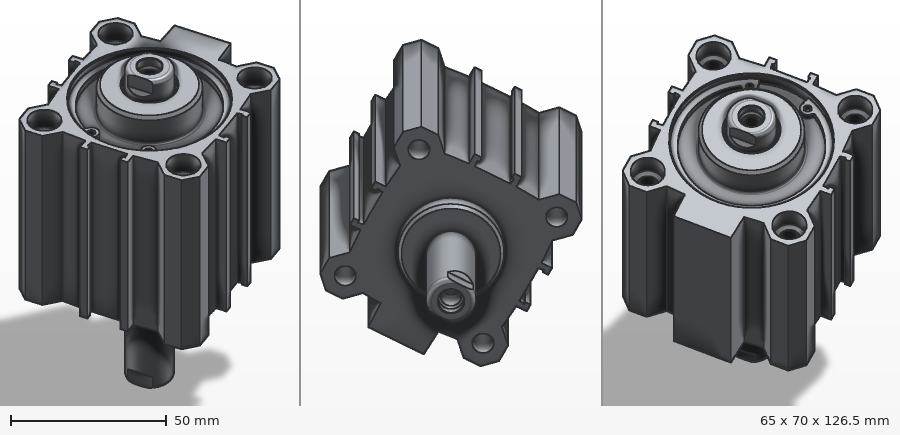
import cadquery as cq
import math


housing_height = 69.3
housing_half = 32.5
ear_center = 25.0
ear_flat = 6.2
wall_middle = 28.3
wall_end = 27.7
hook_outer = 8.6
wall_end_offset = wall_end - housing_half + ear_center - ear_flat / 2

hook_reach = 32.1
hook_lip = 6.0
hook_arm_tip = 6.7
hook_arm_root = 6.3
hook_lip_thickness = 1.9

port_reach = 37.5
port_tip_width = 20.2
port_root_width = 21.0

bolt_diameter = 6.8
bolt_head_diameter = 11.0
bolt_head_depth = 7.3

flange_diameter = 51.7
bore_diameter = 52.2
bore_rim_diameter = 53.0
cover_recess = 4.8
flange_thickness = 12.6
boss_diameter = 34.0
boss_reach = 6.0
boss_chamfer = 1.1
boss_root_fillet = 0.8

seal_diameter = 17.7
seal_mouth_diameter = 16.6
seal_thickness = 2.0
seal_recess = 1.3
seal_seat_diameter = 18.0
seal_seat_rim_diameter = 18.7
seal_seat_floor = housing_height + boss_reach - seal_recess - seal_thickness

ring_recess = 2.7
ring_thickness = cover_recess - ring_recess
ring_inner_diameter = 47.5
ring_gap_half_angle = 19.5
lug_x = 10.2
lug_y = -20.7
lug_radius = 2.5
lug_hole_diameter = 2.5
lug_blend = 0.8

rod_diameter = 16.0
rod_length = 126.5
rod_projection = 13.5
rod_top = housing_height + rod_projection
rod_end_fillet = 1.6
flat_width = 13.0
flat_length = 5.2
tap_rim_diameter = 8.6
tap_relief_diameter = 8.2
tap_relief_depth = 3.2
tap_diameter = 6.7
tap_depth = 12.6
drill_tip_half_angle = 80.0


def make_prism(points, height):
    return cq.Workplane("XY").polyline(points).close().extrude(height)


def make_core():
    side = [(-wall_end_offset, wall_end), (-hook_outer, wall_middle),
            (hook_outer, wall_middle), (wall_end_offset, wall_end)]
    points = []
    for x, y in side:
        points.append((x, y))
    for x, y in reversed(side):
        points.append((y, x))
    for x, y in reversed(side):
        points.append((x, -y))
    for x, y in side:
        points.append((-y, x))
    return make_prism(points, housing_height)


def make_ear(x_sign, y_sign):
    inner = ear_center - ear_flat / 2
    outer = ear_center + ear_flat / 2
    points = [(inner, housing_half), (outer, housing_half), (housing_half, outer), (housing_half, inner),
              (wall_end, wall_end_offset), (wall_end_offset, wall_end)]
    return make_prism([(x_sign * x, y_sign * y) for x, y in points], housing_height)


def make_hook_pair():
    """Two facing hooks on the -Y wall."""
    root = wall_end
    lip_root = hook_reach - hook_lip_thickness
    points = [(hook_outer, -root), (hook_outer, -hook_reach), (hook_lip, -hook_reach),
              (hook_lip, -lip_root), (hook_arm_tip, -lip_root), (hook_arm_root, -root)]
    hook = make_prism(points, housing_height)
    return hook.union(hook.mirror("YZ"))


def make_port_block():
    root = port_root_width / 2
    tip = port_tip_width / 2
    points = [(-root, wall_end), (-tip, port_reach), (tip, port_reach), (root, wall_end)]
    return make_prism(points, housing_height)


def make_boss(base_z, reach):
    """Round boss rising from base_z, with a chamfered end."""
    return (cq.Workplane("XY").workplane(offset=base_z).circle(boss_diameter / 2).extrude(reach)
            .faces(">Z").chamfer(boss_chamfer))


def revolve_profile(profile):
    """Solid of revolution about Z from (radius, height) points."""
    return cq.Workplane("XZ").polyline(profile).close().revolve(360, (0, 0, 0), (0, 1, 0))


def make_rod_hole():
    """Cutter for the rod hole through the cover and the housing."""
    lower_end = -boss_reach
    return (cq.Workplane("XY").workplane(offset=lower_end)
            .circle(rod_diameter / 2).extrude(housing_height + 2 * boss_reach))


def make_seal_seat():
    """Cutter for the seal seat in the upper boss face, with a chamfered rim."""
    face = housing_height + boss_reach
    radius = seal_seat_diameter / 2
    rim_radius = seal_seat_rim_diameter / 2
    rim = rim_radius - radius
    return revolve_profile([(0, face), (rim_radius, face), (radius, face - rim),
                            (radius, seal_seat_floor), (0, seal_seat_floor)])


def make_bore():
    """Stepped pocket that takes the cover flange and the ring, with a chamfered rim."""
    rim = (bore_rim_diameter - bore_diameter) / 2
    step = housing_height - cover_recess
    floor = step - flange_thickness
    radius = bore_diameter / 2
    profile = [(0, floor), (flange_diameter / 2, floor), (flange_diameter / 2, step),
               (radius, step), (radius, housing_height - rim),
               (radius + rim, housing_height), (0, housing_height)]
    return revolve_profile(profile)


def make_housing():
    body = make_core()
    for x_sign in (-1, 1):
        for y_sign in (-1, 1):
            body = body.union(make_ear(x_sign, y_sign))
    for angle in (-90, 0, 90):
        body = body.union(make_hook_pair().rotate((0, 0, 0), (0, 0, 1), angle))
    body = body.union(make_port_block())
    body = (body.faces(">Z").workplane(origin=(0, 0, housing_height))
            .rect(2 * ear_center, 2 * ear_center, forConstruction=True).vertices()
            .cboreHole(bolt_diameter, bolt_head_diameter, bolt_head_depth))
    lower_boss = make_boss(0, boss_reach).mirror("XY")
    return body.union(lower_boss).cut(make_bore()).cut(make_rod_hole())


def make_cover():
    flange_top = housing_height - cover_recess
    flange = (cq.Workplane("XY").workplane(offset=flange_top - flange_thickness)
              .circle(flange_diameter / 2).extrude(flange_thickness))
    body = flange.union(make_boss(flange_top, cover_recess + boss_reach))
    flange_face = cq.selectors.BoxSelector((-bore_diameter, -bore_diameter, flange_top - boss_root_fillet),
                                           (bore_diameter, bore_diameter, flange_top + boss_root_fillet))
    boss_root = cq.selectors.RadiusNthSelector(0)
    body = body.edges("%CIRCLE").edges(flange_face).edges(boss_root).fillet(boss_root_fillet)
    return body.cut(make_rod_hole()).cut(make_seal_seat())


def make_retaining_ring():
    base = cq.Workplane("XY").workplane(offset=housing_height - cover_recess)
    band = base.circle(bore_diameter / 2).circle(ring_inner_diameter / 2).extrude(ring_thickness)
    gap_half_width = bore_diameter * math.tan(math.radians(ring_gap_half_angle))
    gap = (base.polyline([(0, 0), (-gap_half_width, -bore_diameter), (gap_half_width, -bore_diameter)])
           .close().extrude(ring_thickness))
    lug_points = [(-lug_x, lug_y), (lug_x, lug_y)]
    lugs = base.pushPoints(lug_points).circle(lug_radius).extrude(ring_thickness)
    holes = base.pushPoints(lug_points).circle(lug_hole_diameter / 2).extrude(ring_thickness)
    body = band.cut(gap).union(lugs)
    top = housing_height
    for near, far in [(-lug_x - 2 * lug_radius, -lug_x), (lug_x, lug_x + 2 * lug_radius)]:
        inner_corner = cq.selectors.BoxSelector((near, lug_y, 0), (far, lug_y + lug_radius, top))
        body = body.edges("|Z").edges(inner_corner).fillet(lug_blend)
    return body.cut(holes)


def make_rod_seal():
    """Ring around the rod whose inner edge is chamfered at the mouth."""
    top = seal_seat_floor + seal_thickness
    inner = rod_diameter / 2
    mouth = seal_mouth_diameter / 2
    outer = seal_diameter / 2
    return revolve_profile([(inner, seal_seat_floor), (outer, seal_seat_floor), (outer, top),
                            (mouth, top), (inner, top - mouth + inner)])


def make_end_flats():
    """Material removed from the rod top by the two wrench flats, which run out at 45 degrees."""
    flat = flat_width / 2
    radius = rod_diameter / 2
    shoulder = rod_top - flat_length
    run_out = radius - flat
    profile = [(flat, rod_top), (flat, shoulder), (radius, shoulder - run_out), (radius, rod_top)]
    cutter = cq.Workplane("YZ").polyline(profile).close().extrude(radius, both=True)
    return cutter.union(cutter.mirror("XZ"))


def make_tapped_hole():
    """Blind hole in the rod top: rim chamfer, relief, thread bore and drill tip."""
    rim = tap_rim_diameter / 2
    relief = tap_relief_diameter / 2
    bore = tap_diameter / 2
    tip_length = bore / math.tan(math.radians(drill_tip_half_angle))
    steps = [(0, 0), (rim, 0), (relief, rim - relief), (relief, tap_relief_depth),
             (bore, tap_relief_depth + relief - bore), (bore, tap_depth), (0, tap_depth + tip_length)]
    profile = [(radius, rod_top - depth) for radius, depth in steps]
    return revolve_profile(profile)


def make_rod():
    rod = (cq.Workplane("XY").workplane(offset=rod_top - rod_length)
           .circle(rod_diameter / 2).extrude(rod_length).faces("<Z or >Z").edges().fillet(rod_end_fillet))
    end_cut = make_end_flats().union(make_tapped_hole())
    middle = (0, 0, rod_top - rod_length / 2)
    return rod.cut(end_cut).cut(end_cut.mirror("XY", middle))


housing = make_housing()
cover = make_cover()
retaining_ring = make_retaining_ring()
rod_seal = make_rod_seal()
rod = make_rod()

result = cq.Compound.makeCompound([
    housing.val(),
    cover.val(),
    retaining_ring.val(),
    rod_seal.val(),
    rod.val(),
])